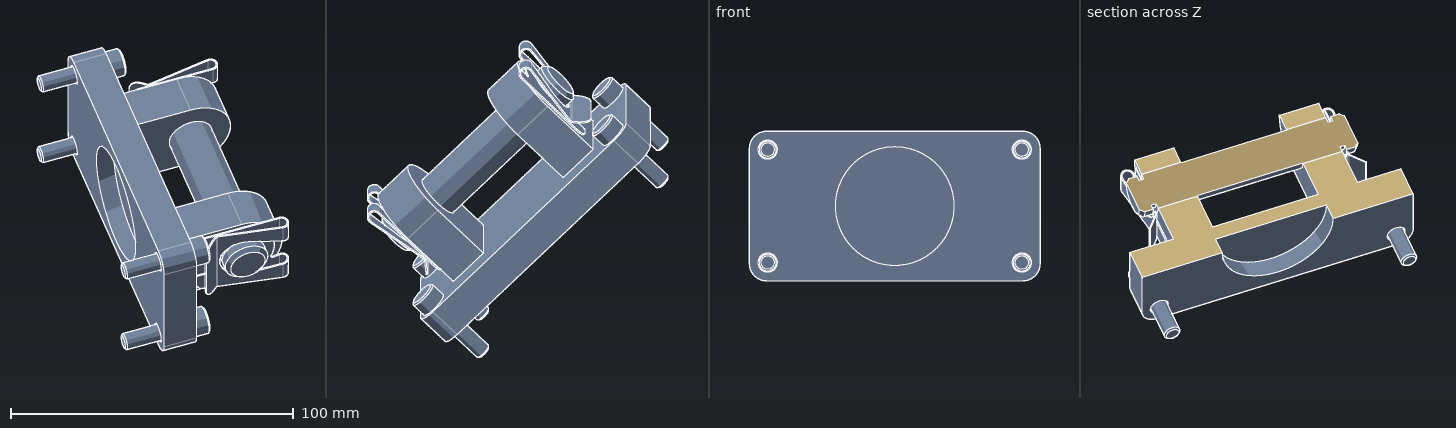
import cadquery as cq
import math


PLATE_LENGTH = 103.0
PLATE_HEIGHT = 53.0
PLATE_THICKNESS = 12.2
PLATE_CORNER_RADIUS = 6.2
AXIS_TO_PLATE_FRONT = 34.9
PLATE_FRONT_Y = -AXIS_TO_PLATE_FRONT
PLATE_BACK_Y = PLATE_FRONT_Y + PLATE_THICKNESS
RECESS_DIAMETER = 42.0
RECESS_DEPTH = 6.5

LUG_GAP = 40.0
LUG_WIDTH = 15.0
LUG_RADIUS = 15.0
LUG_INNER_X = LUG_GAP / 2
LUG_OUTER_X = LUG_INNER_X + LUG_WIDTH

SCREW_SPACING_X = 89.9
SCREW_SPACING_Z = 40.0
SCREW_DIAMETER = 6.0
SCREW_HOLE_DIAMETER = 6.8
SCREW_PROTRUSION = 13.1
SCREW_TIP_CHAMFER = 0.6
HEAD_DIAMETER = 10.0
HEAD_HEIGHT = 5.9
HEAD_CHAMFER_HEIGHT = 0.7
HEAD_CHAMFER_WIDTH = 0.6

PIN_DIAMETER = 16.0
PIN_LENGTH = 83.0
PIN_CHAMFER = 1.5
GROOVE_DIAMETER = 12.0
GROOVE_WIDTH = 1.6

CLIP_WIDTH = 28.0
CLIP_THICKNESS = 0.5
CLIP_LUG_CLEARANCE = 0.5
CLIP_BASE_X = LUG_OUTER_X + CLIP_LUG_CLEARANCE
BASE_END_Y = -17.6
BASE_SLOT_WIDTH = GROOVE_DIAMETER
BASE_SLOT_CORNER_RADIUS = 0.4
BASE_CORNER_RADIUS = 4.0
LOOP_RADIUS = 2.5
LOOP_CENTER_Y = 13.8
BEND_Y = -10.2
BEND_INSIDE_RADIUS = 0.5
BEND_CLEARANCE = 0.1
TAB_ANGLE = math.radians(40)
TAB_LENGTH = 7.3
TAB_CORNER_RADIUS = 5.0
OPENING_RADIUS = 9.0
OPENING_HALF_ANGLE = math.radians(10.8)
NOTCH_FLOOR_Y = 11.8
NOTCH_FLOOR_RADIUS = 14.0
NOTCH_CORNER_RADIUS = 0.8


def cylinder_along_y(diameter, start_y, end_y, x=0.0, z=0.0):
    start = cq.Vector(x, start_y, z)
    return cq.Workplane(cq.Solid.makeCylinder(diameter / 2, end_y - start_y, start, cq.Vector(0, 1, 0)))


def cylinder_along_x(diameter, start_x, length):
    start = cq.Vector(start_x, 0, 0)
    return cq.Workplane(cq.Solid.makeCylinder(diameter / 2, length, start, cq.Vector(1, 0, 0)))


def screw_positions():
    return [
        (side * SCREW_SPACING_X / 2, level * SCREW_SPACING_Z / 2)
        for side in (-1, 1)
        for level in (-1, 1)
    ]


def make_lug(start_x):
    """A lug with a round end about the pin axis, running back to the plate."""
    return (
        cq.Workplane("YZ", origin=(start_x, 0, 0))
        .moveTo(PLATE_BACK_Y, -LUG_RADIUS)
        .lineTo(0, -LUG_RADIUS)
        .threePointArc((LUG_RADIUS, 0), (0, LUG_RADIUS))
        .lineTo(PLATE_BACK_Y, LUG_RADIUS)
        .close()
        .extrude(LUG_WIDTH)
    )


def make_bracket():
    plate = (
        cq.Workplane("XY")
        .box(PLATE_LENGTH, PLATE_THICKNESS, PLATE_HEIGHT)
        .edges("|Y")
        .fillet(PLATE_CORNER_RADIUS)
        .translate((0, (PLATE_FRONT_Y + PLATE_BACK_Y) / 2, 0))
    )
    bracket = plate
    for start_x in (-LUG_OUTER_X, LUG_INNER_X):
        bracket = bracket.union(make_lug(start_x))
    bracket = bracket.cut(cylinder_along_x(PIN_DIAMETER, -LUG_OUTER_X, 2 * LUG_OUTER_X))
    bracket = bracket.cut(cylinder_along_y(RECESS_DIAMETER, PLATE_FRONT_Y, PLATE_FRONT_Y + RECESS_DEPTH))
    for x, z in screw_positions():
        bracket = bracket.cut(cylinder_along_y(SCREW_HOLE_DIAMETER, PLATE_FRONT_Y, PLATE_BACK_Y, x, z))
    return bracket


def make_screw(x, z):
    """A cylinder-head screw with its head on the plate's back face and its tip towards -Y."""
    tip_y = PLATE_FRONT_Y - SCREW_PROTRUSION
    shank = cylinder_along_y(SCREW_DIAMETER, tip_y, PLATE_BACK_Y, x, z)
    shank = shank.faces("<Y").chamfer(SCREW_TIP_CHAMFER)
    head = cylinder_along_y(HEAD_DIAMETER, PLATE_BACK_Y, PLATE_BACK_Y + HEAD_HEIGHT, x, z)
    head = head.faces(">Y").chamfer(HEAD_CHAMFER_WIDTH, HEAD_CHAMFER_HEIGHT)
    return shank.union(head)


def make_pin():
    """A chamfered pin with a clip groove just outside each lug."""
    pin = cylinder_along_x(PIN_DIAMETER, -PIN_LENGTH / 2, PIN_LENGTH)
    pin = pin.faces("<X or >X").chamfer(PIN_CHAMFER)
    for groove_x in (-LUG_OUTER_X - GROOVE_WIDTH, LUG_OUTER_X):
        ring = cylinder_along_x(PIN_DIAMETER, groove_x, GROOVE_WIDTH)
        core = cylinder_along_x(GROOVE_DIAMETER, groove_x, GROOVE_WIDTH)
        pin = pin.cut(ring.cut(core))
    return pin


def make_clip_strip():
    """The folded strip of the +X clip before its openings are cut."""
    inner_radius = LOOP_RADIUS - CLIP_THICKNESS
    base_outer_x = CLIP_BASE_X + CLIP_THICKNESS
    center = cq.Vector(CLIP_BASE_X + LOOP_RADIUS, LOOP_CENTER_Y, 0)

    inner_bend = cq.Vector(base_outer_x + BEND_CLEARANCE, BEND_Y, 0)
    reach = center - inner_bend
    tilt = math.atan(reach.x / reach.y) + math.asin(inner_radius / reach.Length)
    leaf_normal = cq.Vector(math.cos(tilt), -math.sin(tilt), 0)
    tab_normal = cq.Vector(math.cos(TAB_ANGLE), math.sin(TAB_ANGLE), 0)
    tab_direction = cq.Vector(math.sin(TAB_ANGLE), -math.cos(TAB_ANGLE), 0)
    miter = (leaf_normal + tab_normal) * (CLIP_THICKNESS / (1 + leaf_normal.dot(tab_normal)))
    outer_bend = inner_bend + miter
    inner_tip = inner_bend + tab_direction * TAB_LENGTH
    outer_tip = inner_tip + tab_normal * CLIP_THICKNESS

    inner_tangent = center + leaf_normal * inner_radius
    toward_loop_top = cq.Vector(0, 1, 0)
    profile = (
        cq.Workplane("XY", origin=(0, 0, -CLIP_WIDTH / 2))
        .moveTo(CLIP_BASE_X, BASE_END_Y)
        .lineTo(CLIP_BASE_X, LOOP_CENTER_Y)
        .threePointArc(center + toward_loop_top * LOOP_RADIUS, center + leaf_normal * LOOP_RADIUS)
        .lineTo(outer_bend.x, outer_bend.y)
        .lineTo(outer_tip.x, outer_tip.y)
        .lineTo(inner_tip.x, inner_tip.y)
        .lineTo(inner_bend.x, inner_bend.y)
        .lineTo(inner_tangent.x, inner_tangent.y)
        .threePointArc(center + toward_loop_top * inner_radius, (base_outer_x, LOOP_CENTER_Y))
        .lineTo(base_outer_x, BASE_END_Y)
        .close()
    )
    strip = profile.extrude(CLIP_WIDTH)

    strip = strip.faces("<Y").edges("|X").fillet(BASE_CORNER_RADIUS)
    outer_bend_edge = cq.NearestToPointSelector(outer_bend.toTuple())
    inner_bend_edge = cq.NearestToPointSelector(inner_bend.toTuple())
    strip = strip.edges(outer_bend_edge).fillet(BEND_INSIDE_RADIUS)
    strip = strip.edges(inner_bend_edge).fillet(BEND_INSIDE_RADIUS + CLIP_THICKNESS)
    tab_end = cq.NearestToPointSelector(((inner_tip + outer_tip) * 0.5).toTuple())
    return strip.faces(tab_end).edges("<Z or >Z").fillet(TAB_CORNER_RADIUS)


def opening_outline(start_x):
    """A round opening about the pin axis whose tangent sides narrow towards the loop."""
    tangent_y = OPENING_RADIUS * math.sin(OPENING_HALF_ANGLE)
    tangent_z = OPENING_RADIUS * math.cos(OPENING_HALF_ANGLE)
    end_y = LOOP_CENTER_Y + LOOP_RADIUS
    end_z = tangent_z - (end_y - tangent_y) * math.tan(OPENING_HALF_ANGLE)
    return (
        cq.Workplane("YZ", origin=(start_x, 0, 0))
        .moveTo(tangent_y, tangent_z)
        .threePointArc((-OPENING_RADIUS, 0), (tangent_y, -tangent_z))
        .lineTo(end_y, -end_z)
        .lineTo(end_y, end_z)
        .close()
    )


def make_base_notch():
    """The loop opening carried on into the base leaf, ending in a convex arc with rounded corners."""
    arc_center_y = NOTCH_FLOOR_Y - NOTCH_FLOOR_RADIUS
    floor = cylinder_along_x(2 * NOTCH_FLOOR_RADIUS, CLIP_BASE_X, CLIP_THICKNESS)
    floor = floor.translate((0, arc_center_y, 0))
    notch = opening_outline(CLIP_BASE_X).extrude(CLIP_THICKNESS).cut(floor)
    return notch.edges("|X and (not >Y)").fillet(NOTCH_CORNER_RADIUS)


def make_base_slot():
    """The slot that slides over the pin groove, open at the free end of the base leaf."""
    half_width = BASE_SLOT_WIDTH / 2
    return (
        cq.Workplane("YZ", origin=(CLIP_BASE_X, 0, 0))
        .moveTo(BASE_END_Y, -half_width)
        .lineTo(0, -half_width)
        .threePointArc((half_width, 0), (0, half_width))
        .lineTo(BASE_END_Y, half_width)
        .close()
        .extrude(CLIP_THICKNESS)
    )


def make_clip():
    """The clip on the +X end of the pin."""
    spring_opening = opening_outline(CLIP_BASE_X + CLIP_THICKNESS).extrude(2 * LOOP_RADIUS)
    clip = make_clip_strip().cut(spring_opening).cut(make_base_notch()).cut(make_base_slot())
    half_width = BASE_SLOT_WIDTH / 2
    for side in (-1, 1):
        mouth = (CLIP_BASE_X + CLIP_THICKNESS / 2, BASE_END_Y, side * half_width)
        clip = clip.edges(cq.NearestToPointSelector(mouth)).fillet(BASE_SLOT_CORNER_RADIUS)
    return clip


bracket = make_bracket()
pin = make_pin()
screws = [make_screw(x, z) for x, z in screw_positions()]
right_clip = make_clip()
clips = [right_clip, right_clip.mirror("YZ")]

result = cq.Compound.makeCompound(
    [
        bracket.val(),
        pin.val(),
        *[screw.val() for screw in screws],
        *[clip.val() for clip in clips],
    ]
)